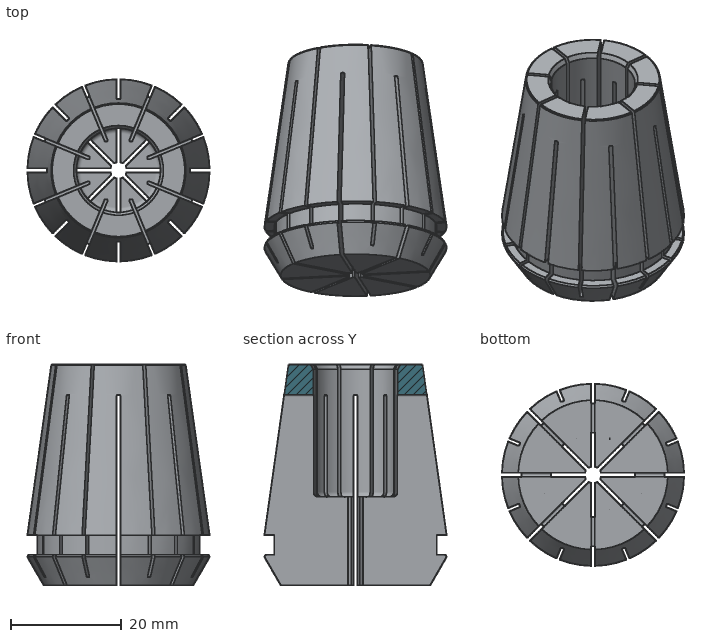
import cadquery as cq
import math

height = 40.0
max_radius = 16.5

nose_angle = 30.0
rim_height = 5.15
groove_radius = 14.7
groove_bottom = 5.55
groove_top = 9.1

taper_angle = 8.0
top_chamfer = 0.2

bore_radius = 7.6
bore_floor = 16.0
floor_fillet = 0.9
mouth_chamfer_width = 0.5
mouth_chamfer_depth = 0.9
grip_radius = 1.5

slots_per_end = 8
slot_overrun = 0.4
bottom_slot_width = 0.7
bottom_slot_end = 34.5
top_slot_width = 0.6
top_slot_end = 1.5
top_slot_inner_radius = 5.65

slot_pitch = 360.0 / slots_per_end
slot_reach = max_radius + slot_overrun


def collet_blank():
    """Revolve the outer tapers, groove, relief bore and gripping hole."""
    nose_slope = math.tan(math.radians(nose_angle))
    taper_slope = math.tan(math.radians(taper_angle))
    nose_radius = max_radius - rim_height * nose_slope
    rim_radius = max_radius - (groove_bottom - rim_height) * nose_slope
    chamfer_start = height - top_chamfer
    taper_end_radius = max_radius - (chamfer_start - groove_top) * taper_slope
    fillet_offset = floor_fillet * math.sqrt(0.5)

    profile = (
        cq.Workplane("XZ")
        .moveTo(grip_radius, 0)
        .lineTo(nose_radius, 0)
        .lineTo(max_radius, rim_height)
        .lineTo(rim_radius, groove_bottom)
        .lineTo(groove_radius, groove_bottom)
        .lineTo(groove_radius, groove_top)
        .lineTo(max_radius, groove_top)
        .lineTo(taper_end_radius, chamfer_start)
        .lineTo(taper_end_radius - top_chamfer, height)
        .lineTo(bore_radius + mouth_chamfer_width, height)
        .lineTo(bore_radius, height - mouth_chamfer_depth)
        .lineTo(bore_radius, bore_floor + floor_fillet)
        .threePointArc(
            (bore_radius - floor_fillet + fillet_offset, bore_floor + floor_fillet - fillet_offset),
            (bore_radius - floor_fillet, bore_floor),
        )
        .lineTo(grip_radius, bore_floor)
        .close()
    )
    return profile.revolve(360, (0, 0, 0), (0, 1, 0))


def bottom_slot():
    """Radial slot along +X, open at the bottom, with a round upper end."""
    half_width = bottom_slot_width / 2
    end_center = bottom_slot_end - half_width
    return (
        cq.Workplane("YZ")
        .moveTo(-half_width, 0)
        .lineTo(half_width, 0)
        .lineTo(half_width, end_center)
        .threePointArc((0, bottom_slot_end), (-half_width, end_center))
        .close()
        .extrude(slot_reach)
    )


def top_slot():
    """Radial slot along +X, open at the top, with a round floor and a round inner end."""
    half_width = top_slot_width / 2
    end_radius = top_slot_inner_radius + half_width
    floor_center = top_slot_end + half_width
    walls = (
        cq.Workplane("XY", origin=(end_radius, 0, floor_center))
        .rect(slot_reach - end_radius, top_slot_width, centered=(False, True))
        .extrude(height - floor_center)
    )
    inner_end = (
        cq.Workplane("XY", origin=(end_radius, 0, floor_center))
        .circle(half_width)
        .extrude(height - floor_center)
    )
    floor = (
        cq.Workplane("YZ", origin=(end_radius, 0, floor_center))
        .circle(half_width)
        .extrude(slot_reach - end_radius)
    )
    floor_end = cq.Workplane("XY", origin=(end_radius, 0, floor_center)).sphere(half_width)
    return walls.union(inner_end).union(floor).union(floor_end)


def cut_around(body, cutter, first_angle):
    """Cut a slot shape repeatedly around the collet axis."""
    for index in range(slots_per_end):
        angle = first_angle + index * slot_pitch
        body = body.cut(cutter.rotate((0, 0, 0), (0, 0, 1), angle))
    return body


result = collet_blank()
result = cut_around(result, bottom_slot(), 0)
result = cut_around(result, top_slot(), slot_pitch / 2)